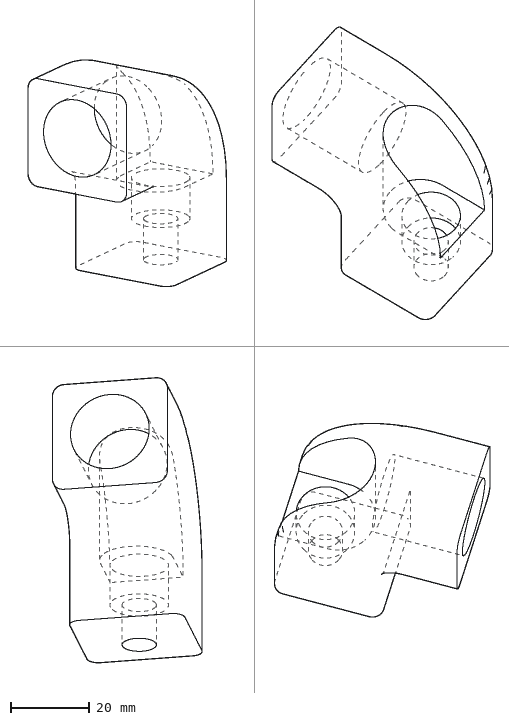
import cadquery as cq

WIDTH = 30.0
LENGTH = 49.5
HEIGHT = 57.0
LIMB_THICKNESS = 29.0
OUTER_BEND_RADIUS = 35.0
INNER_BEND_RADIUS = OUTER_BEND_RADIUS - LIMB_THICKNESS
EDGE_RADIUS = 3.0

SOCKET_DIAMETER = 20.5
SOCKET_DEPTH = 24.0
SOCKET_BELOW_TOP = 13.95

RECESS_WIDTH = 19.05
RECESS_END_CENTER = 13.4
BEND_START_HEIGHT = HEIGHT - OUTER_BEND_RADIUS
RECESS_FLOOR = BEND_START_HEIGHT

BOLT_FROM_BACK = 10.0
BOLT_DIAMETER = 8.8
COUNTERBORE_DIAMETER = 15.0
COUNTERBORE_FLOOR = 11.0


def elbow_body():
    """Constant-thickness elbow with all four long edges rounded."""
    bend_middle = (-OUTER_BEND_RADIUS, BEND_START_HEIGHT)
    arm_underside = HEIGHT - LIMB_THICKNESS
    diagonal = 0.5 ** 0.5

    def on_bend(radius):
        return (bend_middle[0] + radius * diagonal, bend_middle[1] + radius * diagonal)

    body = (
        cq.Workplane("YZ")
        .moveTo(0, 0)
        .lineTo(0, BEND_START_HEIGHT)
        .threePointArc(on_bend(OUTER_BEND_RADIUS), (bend_middle[0], HEIGHT))
        .lineTo(-LENGTH, HEIGHT)
        .lineTo(-LENGTH, arm_underside)
        .lineTo(bend_middle[0], arm_underside)
        .threePointArc(on_bend(INNER_BEND_RADIUS), (-LIMB_THICKNESS, BEND_START_HEIGHT))
        .lineTo(-LIMB_THICKNESS, 0)
        .close()
        .extrude(WIDTH / 2, both=True)
    )
    long_edges = body.faces("<X or >X").edges("not(<Y or <Z)")
    return body.newObject(long_edges.vals()).fillet(EDGE_RADIUS)


def arm_socket():
    return (
        cq.Workplane("XZ", origin=(0, -LENGTH, HEIGHT - SOCKET_BELOW_TOP))
        .circle(SOCKET_DIAMETER / 2)
        .extrude(-SOCKET_DEPTH)
    )


def access_recess():
    """Slot with a round inner end, cut from above down to a flat floor."""
    recess_height = HEIGHT - RECESS_FLOOR
    floor = cq.Workplane("XY", origin=(0, 0, RECESS_FLOOR))
    straight_part = (
        floor.center(0, -RECESS_END_CENTER / 2)
        .rect(RECESS_WIDTH, RECESS_END_CENTER)
        .extrude(recess_height)
    )
    round_end = (
        cq.Workplane("XY", origin=(0, -RECESS_END_CENTER, RECESS_FLOOR))
        .circle(RECESS_WIDTH / 2)
        .extrude(recess_height)
    )
    return straight_part.union(round_end)


def bolt_hole():
    through_hole = (
        cq.Workplane("XY", origin=(0, -BOLT_FROM_BACK, 0))
        .circle(BOLT_DIAMETER / 2)
        .extrude(RECESS_FLOOR)
    )
    counterbore = (
        cq.Workplane("XY", origin=(0, -BOLT_FROM_BACK, COUNTERBORE_FLOOR))
        .circle(COUNTERBORE_DIAMETER / 2)
        .extrude(RECESS_FLOOR - COUNTERBORE_FLOOR)
    )
    return through_hole.union(counterbore)


result = elbow_body().cut(arm_socket()).cut(access_recess()).cut(bolt_hole())